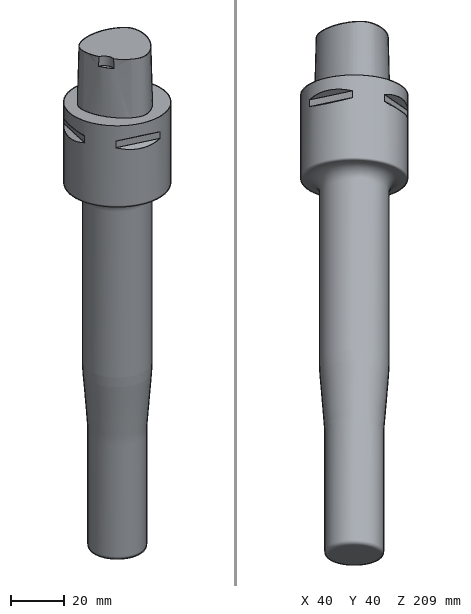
import cadquery as cq
import math

TOTAL_LENGTH = 209.0
TAPER_BOTTOM = 50.0
TAPER_TOP = 74.8
COLLAR_BOTTOM = 151.0
COUPLING_HEIGHT = 24.0
COLLAR_TOP = TOTAL_LENGTH - COUPLING_HEIGHT

SHANK_RADIUS = 22.0 / 2
NECK_RADIUS = 26.0 / 2
COLLAR_RADIUS = 40.0 / 2
END_ROUNDING = 1.5
COLLAR_ROUNDING = 0.8
NECK_FILLET = 5.0
BLEND_LENGTH = 2.0

COUPLING_MEAN_RADIUS = 14.0
LOBE_RISE = 1.0
COUPLING_TAPER = 1 / 40
LOBES = 3
LOBE_DIRECTION = math.pi / 2

NOTCH_WIDTH = 6.0
NOTCH_HEIGHT = 4.0
NOTCH_FLOOR = 10.9
NOTCH_DEPTH = 1.5

GROOVE_COUNT = 4
GROOVE_DROP = 7.7
GROOVE_FLOOR = 17.8
GROOVE_FLOOR_HEIGHT = 2.7
GROOVE_FLANK_ANGLE = 30.0

CUT_MARGIN = 2.0


def make_body():
    """Shank, taper, neck and collar as one turned body."""
    lean = math.atan2(NECK_RADIUS - SHANK_RADIUS, TAPER_TOP - TAPER_BOTTOM)
    blend_out = BLEND_LENGTH * math.sin(lean)
    blend_up = BLEND_LENGTH * math.cos(lean)
    return (
        cq.Workplane("XZ")
        .lineTo(SHANK_RADIUS - END_ROUNDING, 0)
        .tangentArcPoint((END_ROUNDING, END_ROUNDING))
        .lineTo(SHANK_RADIUS, TAPER_BOTTOM - BLEND_LENGTH)
        .tangentArcPoint((SHANK_RADIUS + blend_out, TAPER_BOTTOM + blend_up), relative=False)
        .lineTo(NECK_RADIUS - blend_out, TAPER_TOP - blend_up)
        .tangentArcPoint((NECK_RADIUS, TAPER_TOP + BLEND_LENGTH), relative=False)
        .lineTo(NECK_RADIUS, COLLAR_BOTTOM - NECK_FILLET)
        .tangentArcPoint((NECK_FILLET, NECK_FILLET))
        .lineTo(COLLAR_RADIUS - COLLAR_ROUNDING, COLLAR_BOTTOM)
        .tangentArcPoint((COLLAR_ROUNDING, COLLAR_ROUNDING))
        .lineTo(COLLAR_RADIUS, COLLAR_TOP)
        .lineTo(0, COLLAR_TOP)
        .close()
        .revolve(360, (0, 0), (0, 1))
    )


def coupling_point(angle, mean_radius, height):
    """Point whose outward normal has the given angle; the tangent line there
    lies mean_radius + LOBE_RISE * cos(phase) from the axis."""
    phase = LOBES * (angle - LOBE_DIRECTION)
    distance = mean_radius + LOBE_RISE * math.cos(phase)
    slope = -LOBES * LOBE_RISE * math.sin(phase)
    x = distance * math.cos(angle) - slope * math.sin(angle)
    y = distance * math.sin(angle) + slope * math.cos(angle)
    return cq.Vector(x, y, height)


def coupling_outline(mean_radius, height):
    """Closed outline of alternating lobes and flatter sides."""
    span = math.pi / LOBES
    steps = 8
    edges = []
    for side in range(2 * LOBES):
        angles = [span * (side + step / steps) for step in range(steps + 1)]
        points = [coupling_point(angle, mean_radius, height) for angle in angles]
        tangents = [cq.Vector(-math.sin(a), math.cos(a), 0) for a in (angles[0], angles[-1])]
        edges.append(cq.Edge.makeSpline(points, tangents=tangents))
    return cq.Wire.assembleEdges(edges)


def make_coupling():
    top_mean_radius = COUPLING_MEAN_RADIUS - COUPLING_HEIGHT * COUPLING_TAPER
    bottom = coupling_outline(COUPLING_MEAN_RADIUS, COLLAR_TOP)
    top = coupling_outline(top_mean_radius, TOTAL_LENGTH)
    return cq.Workplane(cq.Solid.makeLoft([bottom, top], True))


def make_notch():
    """Upright round cutter, sized from the chord and depth of the notch."""
    half_width = NOTCH_WIDTH / 2
    radius = (half_width**2 + NOTCH_DEPTH**2) / (2 * NOTCH_DEPTH)
    return (
        cq.Workplane("XY", origin=(0, -NOTCH_FLOOR - radius, TOTAL_LENGTH - NOTCH_HEIGHT))
        .circle(radius)
        .extrude(NOTCH_HEIGHT + CUT_MARGIN)
    )


def make_groove(direction):
    """Straight groove with a flat floor and flanks that open outwards."""
    centre = COLLAR_TOP - GROOVE_DROP
    outside = COLLAR_RADIUS + CUT_MARGIN
    half_floor = GROOVE_FLOOR_HEIGHT / 2
    flank_rise = (outside - GROOVE_FLOOR) * math.tan(math.radians(GROOVE_FLANK_ANGLE))
    half_mouth = half_floor + flank_rise
    section = [
        (GROOVE_FLOOR, centre - half_floor),
        (outside, centre - half_mouth),
        (outside, centre + half_mouth),
        (GROOVE_FLOOR, centre + half_floor),
    ]
    groove = cq.Workplane("XZ").polyline(section).close().extrude(COLLAR_RADIUS, both=True)
    return groove.rotate((0, 0, 0), (0, 0, 1), direction)


result = make_body().union(make_coupling()).cut(make_notch())
for index in range(GROOVE_COUNT):
    result = result.cut(make_groove((index + 0.5) * 360 / GROOVE_COUNT))